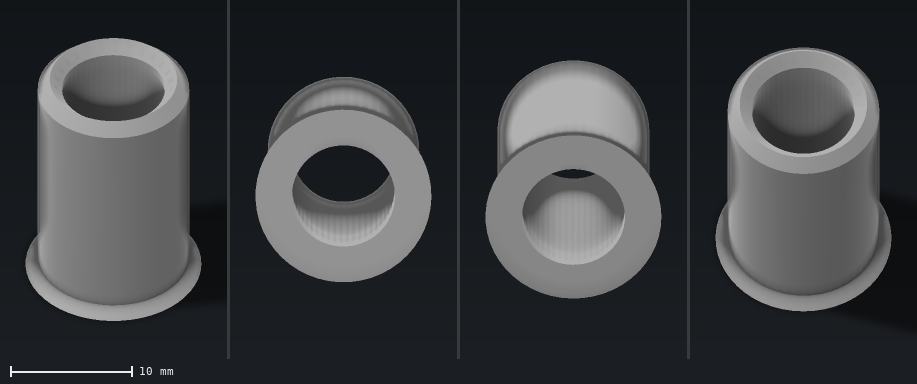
import cadquery as cq

length = 20.0
bore_diameter = 8.5
body_diameter = 12.5
flange_diameter = 14.5
flange_height = 0.85
rim_diameter = 10.5
rim_chamfer_height = 1.0
countersink_depth = 1.0

bore_radius = bore_diameter / 2
body_radius = body_diameter / 2
flange_radius = flange_diameter / 2
rim_radius = rim_diameter / 2

half_section = (
    cq.Workplane("XZ")
    .moveTo(bore_radius, 0)
    .lineTo(flange_radius, 0)
    .lineTo(body_radius, flange_height)
    .lineTo(body_radius, length - rim_chamfer_height)
    .lineTo(rim_radius, length)
    .lineTo(bore_radius, length - countersink_depth)
    .close()
)

result = half_section.revolve(360, (0, 0, 0), (0, 1, 0))